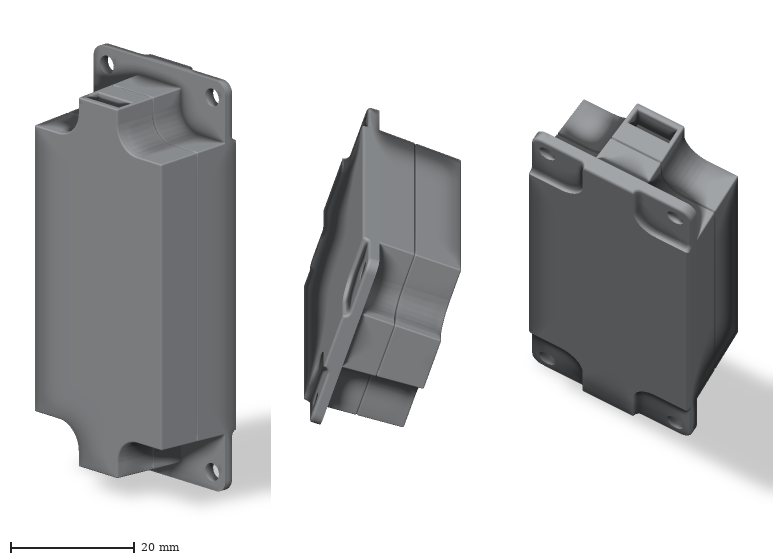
import cadquery as cq
import math

WIDTH = 30.0
LENGTH = 70.0
DEPTH = 17.0
COVER_DEPTH = 8.0
FLANGE_THICKNESS = 2.8

BACK_Y = DEPTH / 2
FRONT_Y = -DEPTH / 2
FLANGE_Y = BACK_Y - FLANGE_THICKNESS
SEAM_Y = FRONT_Y + COVER_DEPTH

SIDE_HALF_LENGTH = 24.9
ARM_HALF_WIDTH = 5.0
ARM_HALF_LENGTH = 32.0
INNER_CORNER_RADIUS = 4.0
DRAFT_ANGLE = 2.0
CORNER_FILLET = 0.245

FLANGE_CORNER_RADIUS = 2.0
BACK_RIM_FILLET = 0.455
HOLE_DIAMETER = 3.1
HOLE_SPACING_X = 24.0
HOLE_SPACING_Z = 64.0

RECESS_DEPTH = 1.0
RECESS_INSET = 0.2
RECESS_OVERSHOOT = 1.4

SEAM_CHAMFER = 0.2
FRONT_FILLET = 0.3

SLOT_FRONT_WALL = 1.2
SLOT_HEIGHT = 2.8
SLOT_SIDE_WALL = 0.85
SLOT_DEPTH = 5.0
SLOT_MOUTH_FILLET = 0.35

TOLERANCE = 0.001


def draft_inset(y):
    """Distance the drafted body walls have moved inward at position y."""
    return (FLANGE_Y - y) * math.tan(math.radians(DRAFT_ANGLE))


def xz_plane(y):
    """Workplane at y, facing -Y, with X to the right and Z up."""
    return cq.Workplane("XZ", origin=(0, y, 0))


def cross_outline(y, inset):
    """Cross with rounded inner corners, its walls moved inward by inset."""
    side_x = WIDTH / 2 - inset
    side_z = SIDE_HALF_LENGTH - inset
    arm_x = ARM_HALF_WIDTH - inset
    arm_z = ARM_HALF_LENGTH - inset
    radius = INNER_CORNER_RADIUS + inset
    right_half = (
        xz_plane(y)
        .moveTo(0, arm_z)
        .lineTo(arm_x, arm_z)
        .lineTo(arm_x, side_z + radius)
        .radiusArc((arm_x + radius, side_z), -radius)
        .lineTo(side_x, side_z)
        .lineTo(side_x, -side_z)
        .lineTo(arm_x + radius, -side_z)
        .radiusArc((arm_x, -side_z - radius), -radius)
        .lineTo(arm_x, -arm_z)
        .lineTo(0, -arm_z)
    )
    return right_half.mirrorY()


def is_outer_corner(edge):
    """True for the edges along Y at the eight outer corners of the cross."""
    box = edge.BoundingBox()
    center = edge.Center()
    runs_along_y = box.ylen > box.xlen + box.zlen
    beyond_arc_x = abs(center.x) > ARM_HALF_WIDTH + INNER_CORNER_RADIUS + TOLERANCE
    beyond_arc_z = abs(center.z) > SIDE_HALF_LENGTH + INNER_CORNER_RADIUS + TOLERANCE
    return runs_along_y and (beyond_arc_x or beyond_arc_z)


def drafted_cross(rear_y, front_y):
    """Drafted cross-shaped block from rear_y forward to front_y, outer corners rounded."""
    outline = cross_outline(rear_y, draft_inset(rear_y))
    block = outline.extrude(rear_y - front_y, taper=DRAFT_ANGLE)
    return block.edges().filter(is_outer_corner).fillet(CORNER_FILLET)


def is_back_rim(edge):
    """True for the edges that follow the flange perimeter around its stepped back."""
    box = edge.BoundingBox()
    on_side = box.xlen < TOLERANCE and abs(edge.Center().x) > WIDTH / 2 - TOLERANCE
    on_end = box.zlen < TOLERANCE and abs(edge.Center().z) > LENGTH / 2 - TOLERANCE
    on_corner = edge.geomType() == "CIRCLE" and abs(edge.radius() - FLANGE_CORNER_RADIUS) < TOLERANCE
    behind_front_face = box.ymin > FLANGE_Y + TOLERANCE
    return behind_front_face and (on_side or on_end or on_corner)


def recess_cutter():
    """Block that hollows the recess at the +X, +Z back corner of the flange."""
    inner_x = ARM_HALF_WIDTH - RECESS_INSET
    inner_z = SIDE_HALF_LENGTH - RECESS_INSET
    block = (
        xz_plane(BACK_Y + RECESS_OVERSHOOT)
        .center(inner_x, inner_z)
        .rect(WIDTH, LENGTH, centered=False)
        .extrude(RECESS_OVERSHOOT + RECESS_DEPTH)
    )
    block = block.edges("|Y and <X and <Z").fillet(INNER_CORNER_RADIUS + RECESS_INSET)
    return block.faces("<Y").edges("<X").fillet(RECESS_DEPTH)


def make_flange():
    """Mounting flange with recessed back corners, a rounded back rim and four holes."""
    plate = xz_plane(BACK_Y).rect(WIDTH, LENGTH).extrude(FLANGE_THICKNESS)
    plate = plate.edges("|Y").fillet(FLANGE_CORNER_RADIUS)

    recess_right_top = recess_cutter()
    recess_left_top = recess_right_top.mirror("YZ")
    for recess in (recess_right_top, recess_left_top):
        plate = plate.cut(recess).cut(recess.mirror("XY"))

    plate = plate.edges().filter(is_back_rim).fillet(BACK_RIM_FILLET)

    holes = (
        xz_plane(BACK_Y)
        .rarray(HOLE_SPACING_X, HOLE_SPACING_Z, 2, 2)
        .circle(HOLE_DIAMETER / 2)
        .extrude(FLANGE_THICKNESS)
    )
    return plate.cut(holes)


def make_base():
    """Housing base: flange and rear part of the drafted cross."""
    block = drafted_cross(FLANGE_Y, SEAM_Y)
    block = block.faces("<Y").chamfer(SEAM_CHAMFER)
    return make_flange().union(block)


def is_slot_mouth(edge):
    """True for the edges where the slot breaks through the top end of the cover."""
    box = edge.BoundingBox()
    at_top = box.zmin > ARM_HALF_LENGTH - SLOT_DEPTH / 2
    clear_of_front = box.ymin > FRONT_Y + SLOT_FRONT_WALL - TOLERANCE
    clear_of_seam = box.ymax < FRONT_Y + SLOT_FRONT_WALL + SLOT_HEIGHT + TOLERANCE
    return at_top and clear_of_front and clear_of_seam


def cut_slot(cover):
    """Cut the blind slot into the top end of the cover and round its mouth."""
    slot_front_y = FRONT_Y + SLOT_FRONT_WALL
    slot_rear_y = slot_front_y + SLOT_HEIGHT
    front_half_width = ARM_HALF_WIDTH - draft_inset(slot_front_y) - SLOT_SIDE_WALL
    rear_half_width = ARM_HALF_WIDTH - draft_inset(slot_rear_y) - SLOT_SIDE_WALL
    slot = (
        cq.Workplane("XY", origin=(0, 0, ARM_HALF_LENGTH))
        .moveTo(-front_half_width, slot_front_y)
        .lineTo(front_half_width, slot_front_y)
        .lineTo(rear_half_width, slot_rear_y)
        .lineTo(-rear_half_width, slot_rear_y)
        .close()
        .extrude(-SLOT_DEPTH)
    )
    cover = cover.cut(slot)
    return cover.edges().filter(is_slot_mouth).fillet(SLOT_MOUTH_FILLET)


def make_cover():
    """Front cover with rounded front edge and a blind slot in its top end."""
    cover = drafted_cross(SEAM_Y, FRONT_Y)
    cover = cover.faces(">Y").chamfer(SEAM_CHAMFER)
    cover = cover.faces("<Y").fillet(FRONT_FILLET)
    return cut_slot(cover)


base = make_base()
cover = make_cover()
result = cq.Compound.makeCompound([base.val(), cover.val()])